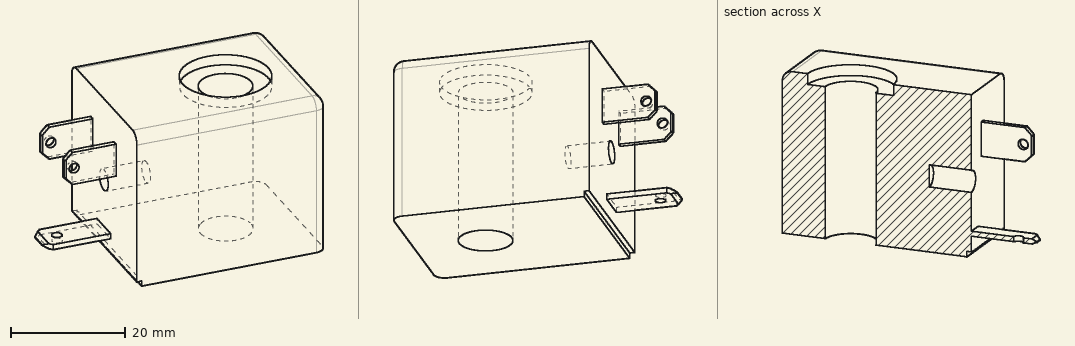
import cadquery as cq

total_length = 48.4
body_width = 29.5
body_depth = 36.0
body_height = 30.0
edge_radius = 2.0
step_height = 1.0
step_depth = 0.9

bore_diameter = 9.6
counterbore_diameter = 16.2
counterbore_depth = 2.0
bore_y = 23.0

connector_x = -0.25
screw_diameter = 4.0
screw_depth = 8.0
screw_z = 14.05

blade_width = 6.3
blade_thickness = 1.0
blade_hole_diameter = 1.85
blade_corner = 1.5
side_blade_length = 9.8
side_blade_hole_setback = 1.85
side_blade_bevel_length = 0.3
side_blade_bevel_depth = 0.25
side_blade_spacing = 10.5
side_blade_pair_x = -0.45
side_blade_z = 20.5
ground_blade_length = total_length - body_depth
ground_blade_hole_setback = 3.5
ground_blade_bevel_length = 0.9
ground_blade_bevel_depth = 0.45
ground_blade_z = 4.4


def make_body():
    """Block with rounded top and back edges and a step along the lower front edge."""
    body = cq.Workplane("XY").box(body_width, body_depth, body_height, centered=(True, False, False))
    body = body.edges("(|Y and >Z) or (|X and >Y and >Z) or (|Z and >Y)").fillet(edge_radius)
    step = cq.Workplane("XY").box(body_width, step_depth, step_height, centered=(True, False, False))
    return body.cut(step)


def cut_bore(body):
    """Vertical through bore, counterbored from the top."""
    return (
        body.faces(">Z")
        .workplane(origin=(0, bore_y, body_height))
        .cboreHole(bore_diameter, counterbore_diameter, counterbore_depth)
    )


def cut_screw_hole(body):
    """Blind screw hole running back from the front face."""
    hole = (
        cq.Workplane("XZ", origin=(connector_x, 0, screw_z))
        .circle(screw_diameter / 2)
        .extrude(-screw_depth)
    )
    return body.cut(hole)


def make_blade(length, hole_setback, bevel_length, bevel_depth):
    """Horizontal blade pointing along -Y, centred on the Y axis."""
    half_width = blade_width / 2
    half_thickness = blade_thickness / 2
    plan = (
        cq.Workplane("XY", origin=(0, 0, -half_thickness))
        .moveTo(-half_width, 0)
        .lineTo(-half_width, -length + blade_corner)
        .lineTo(-half_width + blade_corner, -length)
        .lineTo(half_width - blade_corner, -length)
        .lineTo(half_width, -length + blade_corner)
        .lineTo(half_width, 0)
        .close()
        .extrude(blade_thickness)
    )
    half_tip = half_thickness - bevel_depth
    side_profile = (
        cq.Workplane("YZ")
        .moveTo(0, -half_thickness)
        .lineTo(-length + bevel_length, -half_thickness)
        .lineTo(-length, -half_tip)
        .lineTo(-length, half_tip)
        .lineTo(-length + bevel_length, half_thickness)
        .lineTo(0, half_thickness)
        .close()
        .extrude(half_width, both=True)
    )
    hole = (
        cq.Workplane("XY")
        .center(0, -length + hole_setback)
        .circle(blade_hole_diameter / 2)
        .extrude(blade_thickness, both=True)
    )
    return plan.intersect(side_profile).cut(hole)


result = cut_screw_hole(cut_bore(make_body()))

ground_blade = make_blade(
    ground_blade_length, ground_blade_hole_setback, ground_blade_bevel_length, ground_blade_bevel_depth
)
result = result.union(ground_blade.translate((connector_x, 0, ground_blade_z)))

side_blade = make_blade(
    side_blade_length, side_blade_hole_setback, side_blade_bevel_length, side_blade_bevel_depth
).rotate((0, 0, 0), (0, 1, 0), 90)
for side in (-1, 1):
    blade_x = side_blade_pair_x + side * side_blade_spacing / 2
    result = result.union(side_blade.translate((blade_x, 0, side_blade_z)))